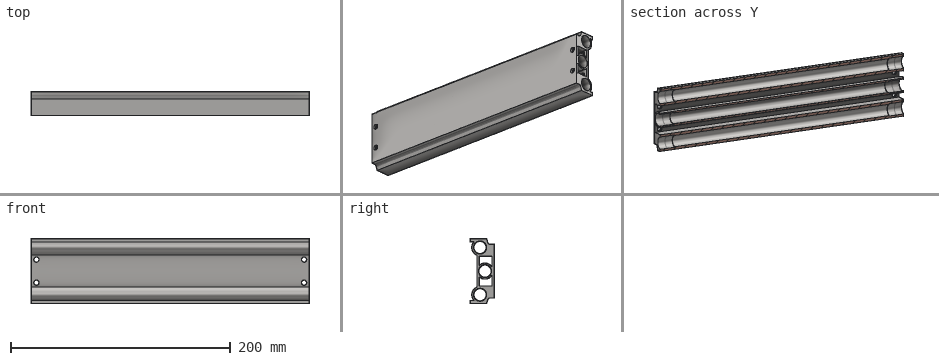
import cadquery as cq

length = 253.0
height = 59.0
depth = 22.0

web_depth = 16.0
web_height = 49.0

shoulder_foot_depth = 5.4
shoulder_top_depth = 7.0
shoulder_fillet = 2.0

flange_thickness = 3.0

bore_diameter = 11.0
end_bore_diameter = 11.9
end_bore_length = 15.0
tube_wall_diameter = 15.2
side_bore_depth = 13.0
side_bore_offset = 21.5
centre_bore_depth = 8.5
centre_tube_diameter = 14.8

chamber_rear_wall = 2.3
chamber_front_wall = 2.3
chamber_height = 26.8

mount_diameter = 4.5
mount_end_distance = 4.8
mount_spacing = 21.0

rear_y = depth / 2
SIDES = (-1, 1)


def profile_y(depth_from_rear):
    """Y coordinate of a point at the given depth in front of the rear face."""
    return rear_y - depth_from_rear


def extrude_profile(sketch):
    """Extrude a YZ sketch over the full length, centred on X = 0."""
    return sketch.extrude(length / 2, both=True)


def box_bar(near_depth, far_depth, low_z, high_z):
    """Full-length rectangular bar between two depths and two heights."""
    corners = [
        (profile_y(near_depth), low_z),
        (profile_y(far_depth), low_z),
        (profile_y(far_depth), high_z),
        (profile_y(near_depth), high_z),
    ]
    return extrude_profile(cq.Workplane("YZ").polyline(corners).close())


def round_bar(diameter, centre_depth, centre_z):
    """Full-length cylinder parallel to X."""
    sketch = cq.Workplane("YZ").center(profile_y(centre_depth), centre_z).circle(diameter / 2)
    return extrude_profile(sketch)


def flange(side):
    """Outer flange with its sloped rear shoulder and the wall around the side bore."""
    outer_edge = height / 2
    inner_face = outer_edge - flange_thickness
    outline = [
        (shoulder_foot_depth, web_height / 2),
        (shoulder_top_depth, outer_edge),
        (depth, outer_edge),
        (depth, inner_face),
        (side_bore_depth, inner_face),
        (side_bore_depth, web_height / 2),
    ]
    points = [(profile_y(d), side * z) for d, z in outline]
    plate = extrude_profile(cq.Workplane("YZ").polyline(points).close())
    return plate.union(round_bar(tube_wall_diameter, side_bore_depth, side * side_bore_offset))


def fillet_shoulder(body, side):
    """Round the inside corner where the shoulder meets the rear ledge."""
    corner = (0, profile_y(shoulder_foot_depth), side * web_height / 2)
    return body.edges(cq.selectors.NearestToPointSelector(corner)).fillet(shoulder_fillet)


def stepped_bore(centre_depth, centre_z):
    """Full-length bore that widens at both ends."""
    bore = round_bar(bore_diameter, centre_depth, centre_z)
    end_offset = (length - end_bore_length) / 2
    mouth = cq.Workplane("YZ").circle(end_bore_diameter / 2).extrude(end_bore_length / 2, both=True)
    for end in SIDES:
        bore = bore.union(mouth.translate((end * end_offset, profile_y(centre_depth), centre_z)))
    return bore


def chamber():
    """Hollow either side of the centre tube."""
    half = chamber_height / 2
    hollow = box_bar(chamber_rear_wall, web_depth - chamber_front_wall, -half, half)
    return hollow.cut(round_bar(centre_tube_diameter, centre_bore_depth, 0))


def mounting_holes():
    """Four through-hole cutters, starting at the rear face."""
    return (
        cq.Workplane("XZ", origin=(0, rear_y, 0))
        .rarray(length - 2 * mount_end_distance, mount_spacing, 2, 2)
        .circle(mount_diameter / 2)
        .extrude(depth)
    )


body = box_bar(0, web_depth, -web_height / 2, web_height / 2)
for side in SIDES:
    body = body.union(flange(side))
for side in SIDES:
    body = fillet_shoulder(body, side)
body = body.cut(chamber())
for side in SIDES:
    body = body.cut(stepped_bore(side_bore_depth, side * side_bore_offset))
body = body.cut(stepped_bore(centre_bore_depth, 0))
result = body.cut(mounting_holes())